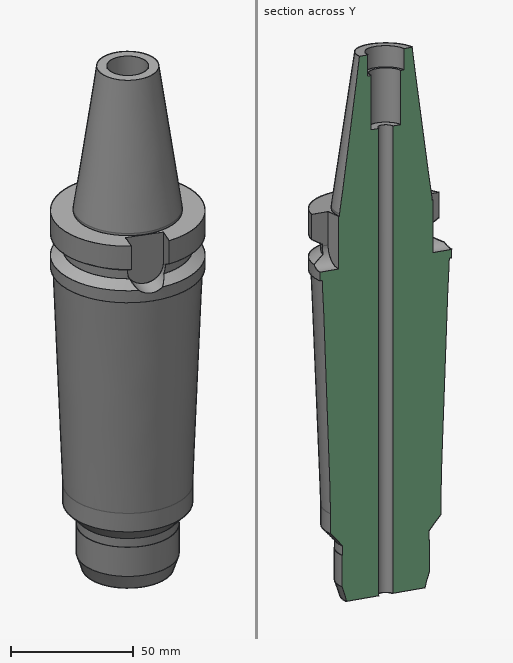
import cadquery as cq
import math


shank_length = 65.4
gauge_radius = 44.45 / 2
taper_ratio = 7 / 24
shank_end_radius = gauge_radius - shank_length * taper_ratio / 2

flange_radius = 63 / 2
flange_top = -1
flange_bottom = -27
groove_center = -16.6
groove_floor_radius = 53 / 2
groove_floor_half_width = 2
groove_wall_angle = 30
groove_wall_rise = (flange_radius - groove_floor_radius) * math.tan(math.radians(groove_wall_angle))
groove_mouth_half_width = groove_floor_half_width + groove_wall_rise

body_top_radius = 61 / 2
body_end_radius = 53 / 2
body_taper_end = -126.5
body_bottom = -135
nose_radius = 42 / 2
neck_top = -141
neck_relief = 0.1
neck_radius = nose_radius - neck_relief
neck_bottom = -145
nose_taper_start = -158.4
nose_end_radius = 37.6 / 2
nose_bottom = -165

slot_width = 16.1
slot_floor_x = 22.6
slot_round_center = -15.2

counterbore_diameter = 17
counterbore_depth = 9
stud_hole_diameter = 14
stud_hole_depth = 32
coolant_hole_diameter = 6.5


def turned_blank():
    """Outer shape revolved about the Z axis."""
    profile = [
        (0, shank_length),
        (shank_end_radius, shank_length),
        (gauge_radius, 0),
        (gauge_radius, flange_top),
        (flange_radius, flange_top),
        (flange_radius, groove_center + groove_mouth_half_width),
        (groove_floor_radius, groove_center + groove_floor_half_width),
        (groove_floor_radius, groove_center - groove_floor_half_width),
        (flange_radius, groove_center - groove_mouth_half_width),
        (flange_radius, flange_bottom),
        (body_top_radius, flange_bottom),
        (body_end_radius, body_taper_end),
        (body_end_radius, body_bottom),
        (neck_radius, neck_top),
        (neck_radius, neck_bottom),
        (nose_radius, neck_bottom),
        (nose_radius, nose_taper_start),
        (nose_end_radius, nose_bottom),
        (0, nose_bottom),
    ]
    section_plane = cq.Plane(origin=(0, 0, 0), xDir=(0, -1, 0), normal=(-1, 0, 0))
    return cq.Workplane(section_plane).polyline(profile).close().revolve(360, (0, 0), (0, 1))


def drive_slot(side):
    """Round-bottomed cutter for the slot on the +X (side = 1) or -X (side = -1) face."""
    half_width = slot_width / 2
    cut_depth = flange_radius - slot_floor_x
    return (
        cq.Workplane("YZ", origin=(side * slot_floor_x, 0, 0))
        .moveTo(-half_width, flange_top)
        .lineTo(-half_width, slot_round_center)
        .threePointArc((0, slot_round_center - half_width), (half_width, slot_round_center))
        .lineTo(half_width, flange_top)
        .close()
        .extrude(side * cut_depth)
    )


def bore_step(diameter, depth):
    """Cylinder reaching down from the small end of the shank."""
    return cq.Workplane("XY").workplane(offset=shank_length).circle(diameter / 2).extrude(-depth)


result = turned_blank()

for side in (-1, 1):
    result = result.cut(drive_slot(side))

bore_steps = (
    (counterbore_diameter, counterbore_depth),
    (stud_hole_diameter, stud_hole_depth),
    (coolant_hole_diameter, shank_length - nose_bottom),
)
for diameter, depth in bore_steps:
    result = result.cut(bore_step(diameter, depth))